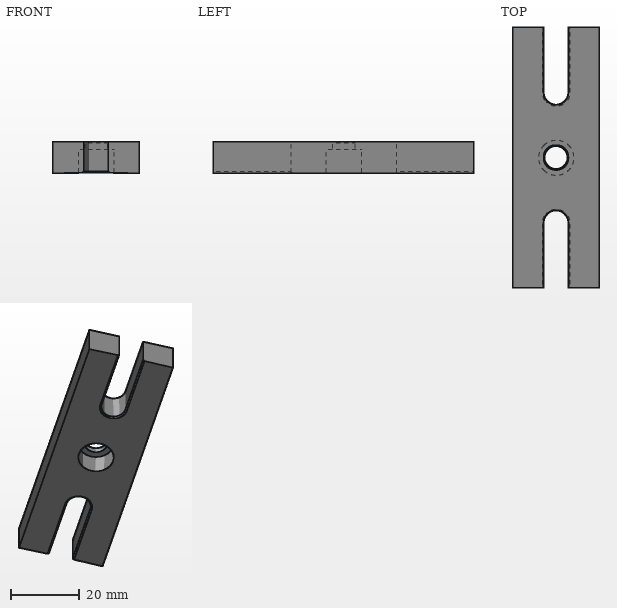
import cadquery as cq

width = 25.4
length = 76.2
thickness = 9.3
underside_rise = 0.2

slot_width = 7.2
slot_depth = 22.6
slot_chamfer = 0.4

hole_diameter = 6.7
hole_chamfer = 0.3
counterbore_diameter = 10.3
counterbore_top = 7.0


def make_plate():
    """Plate whose cross-section has a shallow V along the underside."""
    half_width = width / 2
    return (
        cq.Workplane("XZ")
        .moveTo(-half_width, 0)
        .lineTo(0, underside_rise)
        .lineTo(half_width, 0)
        .lineTo(half_width, thickness)
        .lineTo(-half_width, thickness)
        .close()
        .extrude(length / 2, both=True)
    )


def slot_outline(direction, margin, height):
    """Open slot outline, widened by margin, at the given height."""
    radius = slot_width / 2 + margin
    arc_center = length / 2 - slot_depth + slot_width / 2
    open_end = direction * length
    return (
        cq.Workplane("XY", origin=(0, 0, height))
        .moveTo(-radius, open_end)
        .lineTo(-radius, direction * arc_center)
        .threePointArc((0, direction * (arc_center - radius)), (radius, direction * arc_center))
        .lineTo(radius, open_end)
        .close()
    )


def end_slot(direction):
    """Cutter for the slot open toward +Y (1) or -Y (-1), chamfered at the underside."""
    chamfer_top = underside_rise + slot_chamfer
    channel = slot_outline(direction, 0, 0).extrude(thickness)
    flare = slot_outline(direction, chamfer_top, 0).extrude(chamfer_top, taper=45)
    return channel.union(flare)


def center_hole():
    """Cutter for the stepped hole, revolved about Z."""
    hole_radius = hole_diameter / 2
    counterbore_radius = counterbore_diameter / 2
    return (
        cq.Workplane("XZ")
        .lineTo(counterbore_radius, 0)
        .lineTo(counterbore_radius, counterbore_top)
        .lineTo(hole_radius, counterbore_top)
        .lineTo(hole_radius, thickness - hole_chamfer)
        .lineTo(hole_radius + hole_chamfer, thickness)
        .lineTo(0, thickness)
        .close()
        .revolve(360, (0, 0, 0), (0, 1, 0))
    )


result = make_plate()
for direction in (1, -1):
    result = result.cut(end_slot(direction))
result = result.cut(center_hole())